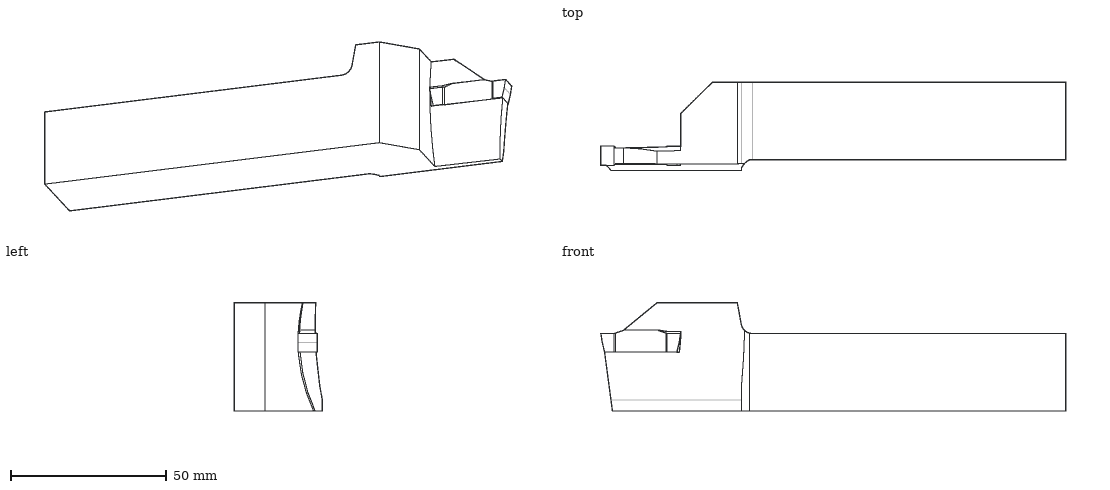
import cadquery as cq
import math

LENGTH = 150.0
SHANK_SIZE = 25.0
SHANK_START_X = 48.0

HEAD_HEIGHT = 35.0
TOP_START_X = 18.2
TOP_END_X = 44.1
TOP_FILLET_END_X = 48.9
BACK_FOOT_X = 45.9
NOSE_SEAT_X = 1.2
NOSE_BOTTOM_X = 3.8
JAW_TIP_X = 7.4

FRONT_Y = -3.5
BLADE_END_X = 45.5
SIDE_FILLET_START_Y = -2.5
SIDE_FILLET_MIDDLE = (46.5, -1.0)
WALL_X = 25.8
WALL_CORNER_Y = 15.0
WALL_CHAMFER_X = 36.0

FRONT_FLAT_HEIGHT = 3.6
FRONT_CREST_Y = -1.12
FRONT_CREST_Z = 27.0
FRONT_TOP_Y = -1.4
BLADE_BACK_TOP_Y = 3.0
BLADE_BACK_MIDDLE_Y = 4.4
BLADE_BACK_MIDDLE_Z = 19.5
BLADE_BACK_BOTTOM_Y = -0.6
BLADE_BACK_TAPER = 0.6

INSERT_LENGTH = 25.8
INSERT_FRONT_Y = -1.8
INSERT_BACK_Y = 4.5
INSERT_BOTTOM_Z = 19.0
INSERT_TOP_Z = 25.0
WAIST_TOP_Z = 26.1
INSERT_HEAD_LENGTH = 4.4
WAIST_STEP = 0.6
WAIST_STEP_RUN = 0.5
RELIEF_START_Z = 22.2
RELIEF_START_X = 0.5

POCKET_END_TOP_X = 26.0
POCKET_END_BOTTOM_X = 25.4
POCKET_END_TOP_Z = 25.6

CUT_MARGIN = 7.5


def extrude_along_x(profile, start_x, end_x):
    """Solid from a (y, z) profile function, which draws on the plane it is given."""
    plane = cq.Workplane("YZ", origin=(start_x, 0, 0))
    return profile(plane).extrude(end_x - start_x)


def make_side_outline():
    """Head silhouette seen along Y, with the fillet onto the shank top."""
    slope_run = BACK_FOOT_X - TOP_END_X
    slope_rise = HEAD_HEIGHT - SHANK_SIZE
    slope_length = math.hypot(slope_run, slope_rise)
    tangent_length = TOP_FILLET_END_X - BACK_FOOT_X
    fillet_start = (
        BACK_FOOT_X - tangent_length * slope_run / slope_length,
        SHANK_SIZE + tangent_length * slope_rise / slope_length,
    )
    outline = (
        cq.Workplane("XZ", origin=(0, SHANK_SIZE, 0))
        .moveTo(NOSE_BOTTOM_X, 0)
        .lineTo(NOSE_SEAT_X, INSERT_BOTTOM_Z)
        .lineTo(JAW_TIP_X, INSERT_BOTTOM_Z)
        .lineTo(JAW_TIP_X, WAIST_TOP_Z)
        .lineTo(TOP_START_X, HEAD_HEIGHT)
        .lineTo(TOP_END_X, HEAD_HEIGHT)
        .lineTo(*fillet_start)
        .tangentArcPoint((TOP_FILLET_END_X, SHANK_SIZE), relative=False)
        .lineTo(TOP_FILLET_END_X, 0)
        .close()
    )
    return outline.extrude(SHANK_SIZE - FRONT_Y)


def make_plan_outline():
    """Head silhouette seen along Z, with the fillet onto the shank side."""
    outline = (
        cq.Workplane("XY")
        .moveTo(0, FRONT_Y)
        .lineTo(BLADE_END_X, FRONT_Y)
        .lineTo(BLADE_END_X, SIDE_FILLET_START_Y)
        .threePointArc(SIDE_FILLET_MIDDLE, (SHANK_START_X, 0))
        .lineTo(TOP_FILLET_END_X, 0)
        .lineTo(TOP_FILLET_END_X, SHANK_SIZE)
        .lineTo(WALL_CHAMFER_X, SHANK_SIZE)
        .lineTo(WALL_X, WALL_CORNER_Y)
        .lineTo(0, WALL_CORNER_Y)
        .close()
    )
    return outline.extrude(HEAD_HEIGHT)


def draw_front_cut(plane):
    """Region in front of the hollow blade face."""
    return (
        plane.moveTo(FRONT_Y, FRONT_FLAT_HEIGHT)
        .threePointArc((FRONT_CREST_Y, FRONT_CREST_Z), (FRONT_TOP_Y, HEAD_HEIGHT))
        .lineTo(FRONT_Y - CUT_MARGIN, HEAD_HEIGHT)
        .lineTo(FRONT_Y - CUT_MARGIN, FRONT_FLAT_HEIGHT)
        .close()
    )


def draw_back_cut(plane, inset):
    """Region behind the bulging back face of the blade, moved forward by the inset."""
    return (
        plane.moveTo(BLADE_BACK_BOTTOM_Y - inset, 0)
        .threePointArc(
            (BLADE_BACK_MIDDLE_Y - inset, BLADE_BACK_MIDDLE_Z),
            (BLADE_BACK_TOP_Y - inset, HEAD_HEIGHT),
        )
        .lineTo(SHANK_SIZE, HEAD_HEIGHT)
        .lineTo(SHANK_SIZE, 0)
        .close()
    )


def make_back_cut():
    """Space behind the blade, lofted from its nose to the wall."""
    nose = draw_back_cut(cq.Workplane("YZ"), BLADE_BACK_TAPER).wires().val()
    wall = draw_back_cut(cq.Workplane("YZ", origin=(WALL_X, 0, 0)), 0).wires().val()
    return cq.Workplane(obj=cq.Solid.makeLoft([nose, wall], True))


def make_pocket():
    """Pocket through the blade that holds the insert; open at the nose."""
    outline = [
        (-CUT_MARGIN, INSERT_BOTTOM_Z),
        (POCKET_END_BOTTOM_X, INSERT_BOTTOM_Z),
        (POCKET_END_TOP_X, POCKET_END_TOP_Z),
        (INSERT_LENGTH - INSERT_HEAD_LENGTH, POCKET_END_TOP_Z),
        (INSERT_LENGTH - JAW_TIP_X, WAIST_TOP_Z),
        (-CUT_MARGIN, WAIST_TOP_Z),
    ]
    plane = cq.Workplane("XZ", origin=(0, INSERT_BACK_Y, 0))
    return plane.polyline(outline).close().extrude(INSERT_BACK_Y - FRONT_Y)


def make_holder():
    shank = cq.Workplane("XY").box(LENGTH - SHANK_START_X, SHANK_SIZE, SHANK_SIZE, centered=False)
    shank = shank.translate((SHANK_START_X, 0, 0))
    head = make_side_outline().intersect(make_plan_outline())
    head = head.cut(extrude_along_x(draw_front_cut, 0, SHANK_START_X))
    head = head.cut(make_back_cut())
    return head.union(shank).cut(make_pocket())


def make_insert():
    half_outline = [
        (NOSE_SEAT_X, INSERT_BOTTOM_Z),
        (RELIEF_START_X, RELIEF_START_Z),
        (0, INSERT_TOP_Z),
        (INSERT_HEAD_LENGTH, INSERT_TOP_Z),
        (JAW_TIP_X, WAIST_TOP_Z),
    ]
    other_half = [(INSERT_LENGTH - x, z) for x, z in reversed(half_outline)]
    plane = cq.Workplane("XZ", origin=(0, INSERT_BACK_Y, 0))
    insert = plane.polyline(half_outline + other_half).close().extrude(INSERT_BACK_Y - INSERT_FRONT_Y)

    waist_start = INSERT_HEAD_LENGTH
    waist_end = INSERT_LENGTH - INSERT_HEAD_LENGTH
    for side_y, inward in ((INSERT_FRONT_Y, 1), (INSERT_BACK_Y, -1)):
        step_y = side_y + inward * WAIST_STEP
        recess = [
            (waist_start, side_y),
            (waist_start + WAIST_STEP_RUN, step_y),
            (waist_end - WAIST_STEP_RUN, step_y),
            (waist_end, side_y),
        ]
        insert = insert.cut(cq.Workplane("XY").polyline(recess).close().extrude(HEAD_HEIGHT))
    return insert


holder = make_holder()
insert = make_insert()
result = cq.Compound.makeCompound([holder.solids().val(), insert.solids().val()])